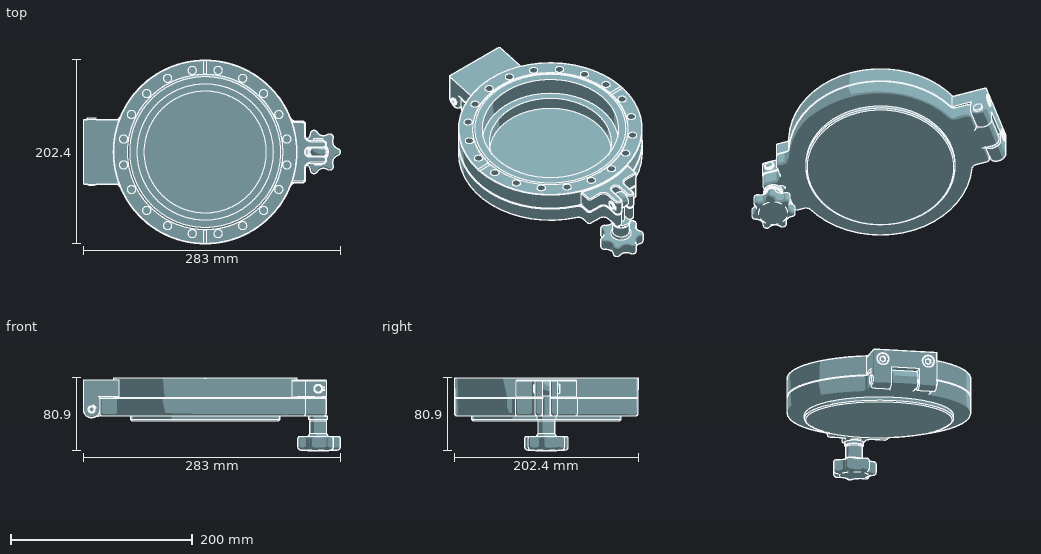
import cadquery as cq
import math


RING_DIA = 202.44
RING_RADIUS = RING_DIA / 2
MATING_Z = -21.8
FLAP_BOTTOM_Z = -42.3
TOP_EDGE_CHAMFER = 0.5
MATING_EDGE_CHAMFER = 0.6
FLAP_EDGE_FILLET = 3.0

BORE_DIA = 150.0
FLAP_POCKET_DIA = 134.4
FLAP_POCKET_FLOOR_Z = -37.6
DISC_DIA = 164.4
DISC_BOTTOM_Z = -47.6
DISC_CHAMFER = 1.5

BOLT_COUNT = 20
BOLT_CIRCLE_DIA = 182.0
BOLT_HOLE_DIA = 9.0
BOLT_HOLE_DEPTH = 15.0
SEAL_GROOVE_INNER_RADIUS = 83.1
SEAL_GROOVE_OUTER_RADIUS = 85.6
SEAL_GROOVE_DEPTH = 1.6
LEAK_SLOT_WIDTH = 3.4
LEAK_SLOT_DEPTH = 0.8

HINGE_LEFT_X = -134.1
HINGE_TOP_Z = -2.2
HINGE_WIDTH = 71.2
HINGE_UNDERSIDE_Z = -20.4
HINGE_KNUCKLE_RADIUS = 9.1
HINGE_PIN_X = HINGE_LEFT_X + HINGE_KNUCKLE_RADIUS
HINGE_PIN_Z = -34.8
HINGE_KNUCKLE_BOTTOM_Z = -44.1
HINGE_LEG_RIGHT_X = HINGE_PIN_X + HINGE_KNUCKLE_RADIUS
HINGE_EDGE_FILLET = 1.5
HINGE_GAP_WIDTH = 31.6
HINGE_GAP_TOP_Z = -21.5

LUG_WIDTH = 29.0
LUG_ROOT_X = -91.0
LUG_TOP_Z = -23.0
LUG_RADIUS = 8.0
LUG_EDGE_FILLET = 2.0

SCREW_SPACING = 51.2
SCREW_Z = -12.65
COUNTERBORE_DIA = 13.5
SCREW_HEAD_DIA = 12.5
COUNTERBORE_DEPTH = 4.0
SCREW_HEAD_RECESS = 0.6
HEX_CORNER_DIA = 6.65
HEX_DEPTH = 3.0

HINGE_PIN_DIA = 5.7
HINGE_PIN_STICKOUT = 1.5
HINGE_PIN_HEAD_DIA = 10.0
HINGE_PIN_HEAD_LENGTH = 2.0
HINGE_CLIP_DIA = 8.0
HINGE_CLIP_REACH = 5.0
HINGE_CLIP_ANGLE = 45.0

HINGE_EAR_LEFT_X = -115.95
HINGE_EAR_HALF_WIDTH = 35.0
HINGE_EAR_CORNER = 4.15
HINGE_EAR_BLEND = 7.0
EAR_TOP_Z = -22.2

CLAMP_EAR_RIGHT_X = 110.4
FLANGE_FORK_RIGHT_X = 133.6
FLAP_FORK_RIGHT_X = 133.3
FORK_HALF_WIDTH = 12.4
FORK_ROOT_FILLET = 6.0
FORK_TIP_FILLET = 3.4
FORK_SLOT_WIDTH = 9.0
FORK_SLOT_LEFT_X = 110.6
FLANGE_EAR_HALF_WIDTH = 33.4
FLANGE_EAR_CORNER = 2.4
FLANGE_EAR_TOP_Z = -2.2
FLANGE_EAR_BOTTOM_Z = -20.9
FLANGE_EAR_CHAMFER = 1.2
FLAP_EAR_HALF_WIDTH = 34.1
FLAP_EAR_CORNER = 3.4
FLAP_EAR_BLEND = 6.0

BOLT_X = 124.4
PIVOT_Z = -12.1
EYE_RADIUS = 9.0
EYE_WIDTH = 8.43
BOLT_ROD_DIA = 8.0
PIVOT_PIN_DIA = 7.6
PIVOT_PIN_END_Y = -14.2
PIVOT_HEAD_DIA = 10.5
PIVOT_HEAD_END_Y = 15.0
PIVOT_HEAD_CHAMFER = 0.8
PIVOT_CLIP_DIA = 9.7
PIVOT_CLIP_REACH = 7.0
CLIP_THICKNESS = 1.0
CLIP_PRONG_WIDTH = 1.2
CLIP_PRONG_OFFSET = 1.4

COLLAR_DIA = 20.8
COLLAR_BOTTOM_Z = -45.8
SHANK_DIA = 18.7
SHANK_RELIEF_DIA = 18.0
SHANK_RELIEF_BOTTOM_Z = -47.5
FLARE_TOP_Z = -61.5
FLARE_DIA = 22.4
KNOB_TOP_Z = -64.5
KNOB_BOTTOM_Z = -80.86
KNOB_RIM_BOTTOM_Z = -79.8
KNOB_LOBES = 7
KNOB_TIP_RADIUS = 24.49
LOBE_RADIUS = 4.2
VALLEY_RADIUS = 8.0
KNOB_TOP_FILLET = 2.4
KNOB_BOTTOM_FILLET = 3.8
KNOB_CROWN_DIA = 32.0
KNOB_CROWN_FLAT_DIA = 14.0


def disc(radius, z_low, z_high):
    """Upright cylinder about the ring axis."""
    return cq.Workplane("XY").workplane(offset=z_low).circle(radius).extrude(z_high - z_low)


def box(x_range, y_range, z_range):
    """Axis-aligned box given by its limits."""
    size = [high - low for low, high in (x_range, y_range, z_range)]
    low_corner = cq.Vector(x_range[0], y_range[0], z_range[0])
    return cq.Workplane("XY").box(*size, centered=False).translate(low_corner)


def y_cylinder(x, z, diameter, y_low, y_high):
    """Cylinder parallel to Y."""
    section = cq.Workplane("XZ", origin=(x, y_low, z)).circle(diameter / 2)
    return section.extrude(y_low - y_high)


def make_flange():
    """Upper ring with a chamfered top rim and its clamp fork, before it is bored."""
    ring = disc(RING_RADIUS, MATING_Z, 0).faces(">Z").edges().chamfer(TOP_EDGE_CHAMFER)
    ear = clamp_plate(
        FLANGE_EAR_HALF_WIDTH,
        FLANGE_EAR_CORNER,
        FLANGE_FORK_RIGHT_X,
        FLANGE_EAR_BOTTOM_Z,
        FLANGE_EAR_TOP_Z,
    )
    ear = ear.faces(">Z").edges().chamfer(FLANGE_EAR_CHAMFER)
    return ring.union(ear)


def clamp_plate(half_width, corner, fork_right_x, z_low, z_high):
    """Plate that carries the clamp fork, with rounded corners and a blended fork root."""
    height = z_high - z_low
    base = box((0, CLAMP_EAR_RIGHT_X), (-half_width, half_width), (z_low, z_high))
    base = base.edges("|Z and >X").fillet(corner)
    fork = box((0, fork_right_x), (-FORK_HALF_WIDTH, FORK_HALF_WIDTH), (z_low, z_high))
    plate = base.union(fork)
    root_box = cq.selectors.BoxSelector(
        (CLAMP_EAR_RIGHT_X - FORK_TIP_FILLET, -half_width / 2, z_low),
        (CLAMP_EAR_RIGHT_X + FORK_TIP_FILLET, half_width / 2, z_high),
    )
    plate = plate.edges("|Z").edges(root_box).fillet(FORK_ROOT_FILLET)
    slot_end_x = FORK_SLOT_LEFT_X + FORK_SLOT_WIDTH / 2
    slot = (
        cq.Workplane("XY", origin=(0, 0, z_low))
        .moveTo(fork_right_x, -FORK_SLOT_WIDTH / 2)
        .lineTo(slot_end_x, -FORK_SLOT_WIDTH / 2)
        .threePointArc((FORK_SLOT_LEFT_X, 0), (slot_end_x, FORK_SLOT_WIDTH / 2))
        .lineTo(fork_right_x, FORK_SLOT_WIDTH / 2)
        .close()
        .extrude(height)
    )
    plate = plate.cut(slot)
    return plate.edges("|Z and >X").fillet(FORK_TIP_FILLET)


def ring_blend(side, half_width, radius):
    """Concave fillers between an ear's long sides and the ring; side is +1 or -1 along X."""
    centre_y = half_width + radius
    centre_x = side * math.sqrt((RING_RADIUS + radius) ** 2 - centre_y ** 2)
    touch = RING_RADIUS / (RING_RADIUS + radius)
    filler = (
        cq.Workplane("XY", origin=(0, 0, FLAP_BOTTOM_Z))
        .moveTo(0, 0)
        .lineTo(centre_x * touch, centre_y * touch)
        .lineTo(centre_x, centre_y)
        .lineTo(centre_x, half_width)
        .lineTo(centre_x, 0)
        .close()
        .extrude(EAR_TOP_Z - FLAP_BOTTOM_Z)
    )
    hollow = (
        cq.Workplane("XY", origin=(centre_x, centre_y, FLAP_BOTTOM_Z))
        .circle(radius)
        .extrude(EAR_TOP_Z - FLAP_BOTTOM_Z)
    )
    filler = filler.cut(hollow)
    return filler.union(filler.mirror("XZ"))


def make_flap():
    """Lower ring with both ears, rounded along its bottom rim."""
    hinge_ear = box(
        (HINGE_EAR_LEFT_X, 0),
        (-HINGE_EAR_HALF_WIDTH, HINGE_EAR_HALF_WIDTH),
        (FLAP_BOTTOM_Z, EAR_TOP_Z),
    )
    hinge_ear = hinge_ear.edges("|Z and <X").fillet(HINGE_EAR_CORNER)
    clamp_ear = clamp_plate(
        FLAP_EAR_HALF_WIDTH, FLAP_EAR_CORNER, FLAP_FORK_RIGHT_X, FLAP_BOTTOM_Z, EAR_TOP_Z
    )
    flap = (
        disc(RING_RADIUS, FLAP_BOTTOM_Z, EAR_TOP_Z)
        .union(hinge_ear)
        .union(clamp_ear)
        .union(ring_blend(-1, HINGE_EAR_HALF_WIDTH, HINGE_EAR_BLEND))
        .union(ring_blend(1, FLAP_EAR_HALF_WIDTH, FLAP_EAR_BLEND))
        .clean()
    )
    flap = flap.faces("<Z").edges().fillet(FLAP_EDGE_FILLET)
    flap = flap.faces(">Z").edges().chamfer(MATING_EDGE_CHAMFER)
    neck = disc(RING_RADIUS - MATING_EDGE_CHAMFER, EAR_TOP_Z, MATING_Z)
    bottom_disc = disc(DISC_DIA / 2, DISC_BOTTOM_Z, FLAP_BOTTOM_Z)
    bottom_disc = bottom_disc.faces("<Z").edges().chamfer(DISC_CHAMFER)
    return flap.union(neck).union(bottom_disc)


def make_hinge_block():
    """Block bolted to the flange, with two legs that hold the hinge pin."""
    half_width = HINGE_WIDTH / 2
    knuckle_z = HINGE_KNUCKLE_BOTTOM_Z + HINGE_KNUCKLE_RADIUS
    profile = (
        cq.Workplane("XZ", origin=(0, half_width, 0))
        .moveTo(HINGE_LEFT_X, HINGE_TOP_Z)
        .lineTo(HINGE_LEFT_X, knuckle_z)
        .threePointArc((HINGE_PIN_X, HINGE_KNUCKLE_BOTTOM_Z), (HINGE_LEG_RIGHT_X, knuckle_z))
        .lineTo(HINGE_LEG_RIGHT_X, HINGE_UNDERSIDE_Z)
        .lineTo(-BORE_DIA / 2, HINGE_UNDERSIDE_Z)
        .lineTo(-BORE_DIA / 2, HINGE_TOP_Z)
        .close()
    )
    block = profile.extrude(HINGE_WIDTH)
    block = block.edges("|Z and <X").fillet(HINGE_EDGE_FILLET)
    end_x = -math.sqrt(RING_RADIUS ** 2 - half_width ** 2)
    block = block.cut(
        box((end_x, 0), (-HINGE_WIDTH, HINGE_WIDTH), (FLAP_BOTTOM_Z, 0)).cut(
            disc(RING_RADIUS, FLAP_BOTTOM_Z, 0)
        )
    )
    gap = box(
        (HINGE_LEFT_X, HINGE_LEG_RIGHT_X),
        (-HINGE_GAP_WIDTH / 2, HINGE_GAP_WIDTH / 2),
        (DISC_BOTTOM_Z, HINGE_GAP_TOP_Z),
    )
    block = block.cut(gap)
    for side in (-1, 1):
        block = add_mounting_screw(block, side * SCREW_SPACING / 2)
    return block


def add_mounting_screw(block, y):
    """Counterbored socket-head screw in the outer face of the hinge block."""
    face = cq.Workplane("YZ", origin=(HINGE_LEFT_X, y, SCREW_Z))
    counterbore = face.circle(COUNTERBORE_DIA / 2).extrude(COUNTERBORE_DEPTH)
    head_face = face.workplane(offset=SCREW_HEAD_RECESS)
    head = head_face.circle(SCREW_HEAD_DIA / 2).extrude(COUNTERBORE_DEPTH - SCREW_HEAD_RECESS)
    socket = head_face.transformed(rotate=(0, 0, 90)).polygon(6, HEX_CORNER_DIA).extrude(HEX_DEPTH)
    return block.cut(counterbore).union(head.cut(socket))


def make_lug():
    """Hinge lug of the flap, rounded on its outer side, and the pad that fills up to the block."""
    left_x = HINGE_PIN_X - LUG_RADIUS
    corner = LUG_RADIUS * (1 - math.sqrt(0.5))
    bottom_z = HINGE_PIN_Z - LUG_RADIUS
    lug = (
        cq.Workplane("XZ", origin=(0, LUG_WIDTH / 2, 0))
        .moveTo(LUG_ROOT_X, LUG_TOP_Z)
        .lineTo(HINGE_PIN_X, LUG_TOP_Z)
        .threePointArc((left_x + corner, LUG_TOP_Z - corner), (left_x, LUG_TOP_Z - LUG_RADIUS))
        .lineTo(left_x, HINGE_PIN_Z)
        .threePointArc((left_x + corner, bottom_z + corner), (HINGE_PIN_X, bottom_z))
        .lineTo(HINGE_EAR_LEFT_X, FLAP_BOTTOM_Z)
        .lineTo(LUG_ROOT_X, FLAP_BOTTOM_Z)
        .close()
        .extrude(LUG_WIDTH)
    )
    lug = lug.edges("%CIRCLE").fillet(LUG_EDGE_FILLET)
    pad = box(
        (HINGE_LEG_RIGHT_X, LUG_ROOT_X),
        (-LUG_WIDTH / 2, LUG_WIDTH / 2),
        (EAR_TOP_Z, HINGE_UNDERSIDE_Z),
    )
    return lug.union(pad)


def make_clip(x, z, face_y, diameter, reach, angle):
    """Snap ring against a -Y face, with two parallel prongs pointing at the given angle."""
    outer_y = face_y - CLIP_THICKNESS
    clip = y_cylinder(x, z, diameter, outer_y, face_y)
    for side in (-1, 1):
        middle = side * CLIP_PRONG_OFFSET
        prong = box(
            (0, reach),
            (outer_y, face_y),
            (middle - CLIP_PRONG_WIDTH / 2, middle + CLIP_PRONG_WIDTH / 2),
        )
        prong = prong.rotate((0, 0, 0), (0, 1, 0), -angle).translate((x, 0, z))
        clip = clip.union(prong)
    return clip


def make_hinge_pin():
    """Headed pin through the hinge legs and lug, held by a snap ring."""
    face_y = HINGE_WIDTH / 2
    pin = y_cylinder(
        HINGE_PIN_X, HINGE_PIN_Z, HINGE_PIN_DIA, -face_y - HINGE_PIN_STICKOUT, face_y
    )
    head = y_cylinder(
        HINGE_PIN_X, HINGE_PIN_Z, HINGE_PIN_HEAD_DIA, face_y, face_y + HINGE_PIN_HEAD_LENGTH
    )
    clip = make_clip(
        HINGE_PIN_X, HINGE_PIN_Z, -face_y, HINGE_CLIP_DIA, HINGE_CLIP_REACH, HINGE_CLIP_ANGLE
    )
    return pin.union(head).union(clip)


def make_pivot_pin():
    """Headed pin through the flange fork and the bolt eye, held by a snap ring."""
    pin = y_cylinder(BOLT_X, PIVOT_Z, PIVOT_PIN_DIA, PIVOT_PIN_END_Y, FORK_HALF_WIDTH)
    head = y_cylinder(BOLT_X, PIVOT_Z, PIVOT_HEAD_DIA, FORK_HALF_WIDTH, PIVOT_HEAD_END_Y)
    head = head.faces(">Y").edges().chamfer(PIVOT_HEAD_CHAMFER)
    clip = make_clip(BOLT_X, PIVOT_Z, -FORK_HALF_WIDTH, PIVOT_CLIP_DIA, PIVOT_CLIP_REACH, 0)
    return pin.union(head).union(clip)


def make_swing_bolt():
    """Rounded eye with flat sides on a plain rod that runs down into the knob."""
    sphere = cq.Workplane("XY", origin=(BOLT_X, 0, PIVOT_Z)).sphere(EYE_RADIUS)
    slab = box(
        (BOLT_X - EYE_RADIUS, BOLT_X + EYE_RADIUS),
        (-EYE_WIDTH / 2, EYE_WIDTH / 2),
        (PIVOT_Z - EYE_RADIUS, PIVOT_Z + EYE_RADIUS),
    )
    rod = disc(BOLT_ROD_DIA / 2, KNOB_TOP_Z, PIVOT_Z).translate((BOLT_X, 0, 0))
    return sphere.intersect(slab).union(rod)


def polar(radius, angle):
    return (radius * math.cos(angle), radius * math.sin(angle))


def star_outline():
    """Closed outline of convex lobes and tangent concave valleys."""
    half_step = math.pi / KNOB_LOBES
    lobe_centre = KNOB_TIP_RADIUS - LOBE_RADIUS
    half_chord = lobe_centre * math.sin(half_step)
    centre_gap = LOBE_RADIUS + VALLEY_RADIUS
    valley_centre = lobe_centre * math.cos(half_step) + math.sqrt(centre_gap ** 2 - half_chord ** 2)
    share = LOBE_RADIUS / centre_gap
    lobe_x, lobe_y = polar(lobe_centre, 0)
    valley_x, valley_y = polar(valley_centre, half_step)
    touch_x = lobe_x + share * (valley_x - lobe_x)
    touch_y = lobe_y + share * (valley_y - lobe_y)
    touch_radius = math.hypot(touch_x, touch_y)
    touch_angle = math.atan2(touch_y, touch_x)
    outline = cq.Workplane("XY").moveTo(*polar(touch_radius, -touch_angle))
    for index in range(KNOB_LOBES):
        lobe_angle = 2 * half_step * index
        next_angle = lobe_angle + 2 * half_step
        outline = outline.threePointArc(
            polar(KNOB_TIP_RADIUS, lobe_angle), polar(touch_radius, lobe_angle + touch_angle)
        )
        outline = outline.threePointArc(
            polar(valley_centre - VALLEY_RADIUS, lobe_angle + half_step),
            polar(touch_radius, next_angle - touch_angle),
        )
    return outline.close()


def make_knob():
    """Star knob with a flared shank and a collar under the flap ear."""
    star = star_outline().extrude(KNOB_TOP_Z - KNOB_RIM_BOTTOM_Z)
    star = star.faces(">Z").edges().fillet(KNOB_TOP_FILLET)
    star = star.faces("<Z").edges().fillet(KNOB_BOTTOM_FILLET)
    star = star.translate((0, 0, KNOB_RIM_BOTTOM_Z))
    half_stem = (
        cq.Workplane("XZ")
        .moveTo(0, FLAP_BOTTOM_Z)
        .lineTo(COLLAR_DIA / 2, FLAP_BOTTOM_Z)
        .lineTo(COLLAR_DIA / 2, COLLAR_BOTTOM_Z)
        .lineTo(SHANK_RELIEF_DIA / 2, COLLAR_BOTTOM_Z)
        .lineTo(SHANK_RELIEF_DIA / 2, SHANK_RELIEF_BOTTOM_Z)
        .lineTo(SHANK_DIA / 2, SHANK_RELIEF_BOTTOM_Z)
        .lineTo(SHANK_DIA / 2, FLARE_TOP_Z)
        .lineTo(FLARE_DIA / 2, KNOB_TOP_Z)
        .lineTo(KNOB_CROWN_DIA / 2, KNOB_RIM_BOTTOM_Z)
        .lineTo(KNOB_CROWN_FLAT_DIA / 2, KNOB_BOTTOM_Z)
        .lineTo(0, KNOB_BOTTOM_Z)
        .close()
    )
    stem = half_stem.revolve(360, (0, 0, 0), (0, 1, 0))
    return star.union(stem).translate((BOLT_X, 0, 0))


def cut_flange_face(body):
    """Bolt circle, seal groove and leak-check slots in the top face."""
    holes = (
        cq.Workplane("XY")
        .polarArray(BOLT_CIRCLE_DIA / 2, 180 / BOLT_COUNT, 360, BOLT_COUNT)
        .circle(BOLT_HOLE_DIA / 2)
        .extrude(-BOLT_HOLE_DEPTH)
    )
    groove = (
        cq.Workplane("XZ")
        .moveTo(SEAL_GROOVE_INNER_RADIUS, 0)
        .lineTo(SEAL_GROOVE_OUTER_RADIUS, 0)
        .lineTo(SEAL_GROOVE_OUTER_RADIUS, -SEAL_GROOVE_DEPTH)
        .close()
        .revolve(360, (0, 0, 0), (0, 1, 0))
    )
    half_slot = LEAK_SLOT_WIDTH / 2
    slots = (
        cq.Workplane("XZ", origin=(0, RING_DIA, 0))
        .moveTo(-half_slot, 0)
        .threePointArc((0, -LEAK_SLOT_DEPTH), (half_slot, 0))
        .close()
        .extrude(2 * RING_DIA)
    )
    slots = slots.cut(disc(SEAL_GROOVE_OUTER_RADIUS - LEAK_SLOT_DEPTH, -LEAK_SLOT_DEPTH, 0))
    return body.cut(holes).cut(groove).cut(slots)


def cut_bore(body):
    """Round opening through the flange and the shallower pocket in the flap."""
    opening = disc(BORE_DIA / 2, MATING_Z, 0)
    pocket = disc(FLAP_POCKET_DIA / 2, FLAP_POCKET_FLOOR_Z, MATING_Z)
    return body.cut(opening).cut(pocket)


body = make_flange().union(make_flap()).union(make_lug()).union(make_hinge_block())
body = cut_bore(cut_flange_face(body))
body = body.union(make_knob()).union(make_swing_bolt())
result = body.union(make_hinge_pin()).union(make_pivot_pin())